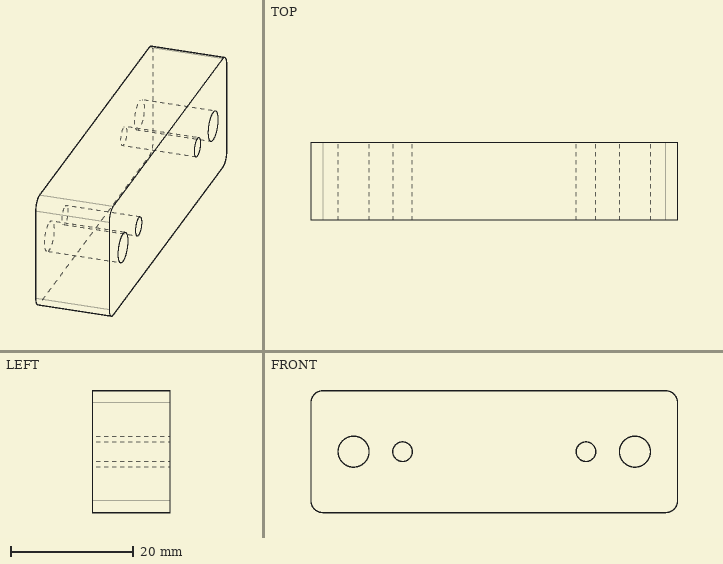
import cadquery as cq

length = 60.0
thickness = 12.7
height = 20.0
corner_radius = 2.0

outer_hole_diameter = 5.05
outer_hole_spacing = 46.0
inner_hole_diameter = 3.2
inner_hole_spacing = length / 2


def rounded_block():
    """Block centred on the origin, with its four Y-direction edges rounded."""
    return cq.Workplane("XY").box(length, thickness, height).edges("|Y").fillet(corner_radius)


def drill_pair(body, diameter, spacing):
    """Drill two holes through the thickness, at mid height."""
    centres = [(-spacing / 2, 0), (spacing / 2, 0)]
    return body.faces("<Y").workplane(centerOption="CenterOfBoundBox").pushPoints(centres).hole(diameter)


result = rounded_block()
result = drill_pair(result, outer_hole_diameter, outer_hole_spacing)
result = drill_pair(result, inner_hole_diameter, inner_hole_spacing)